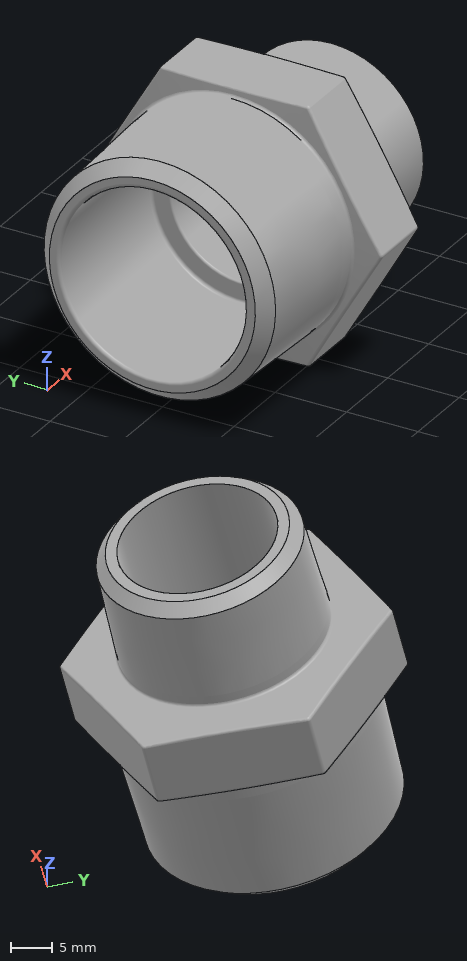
import math
import cadquery as cq

total_length = 45.0
pipe_taper = 1 / 32

large_radius = 16.7
large_chamfer = 1.8
large_thread_end = 17.3
large_tip_radius = large_radius - pipe_taper * (large_thread_end - large_chamfer)

small_radius = 13.335
small_chamfer = 1.5
small_thread_start = 31.15
small_thread_end = total_length - small_chamfer
small_tip_radius = small_radius - pipe_taper * (small_thread_end - small_thread_start)

hex_sides = 6
across_flats = 36.0
corner_radius = across_flats / math.sqrt(3)
hex_center = 24.45
hex_root_width = 10.3
face_angle = math.radians(5)
hex_corner_round = 0.5
hex_rim_round = 0.4
neck_round = 0.4

bore_radius = 10.0
counterbore_radius = 12.95
counterbore_depth = 22.0
mouth_round = 0.5
step_floor_round = 0.5
step_edge_round = 0.35

selection_margin = 0.05


def face_offset(radius):
    """Distance from the collar's middle plane to its conical face at a radius."""
    return hex_root_width / 2 - (radius - small_radius) * math.tan(face_angle)


def revolve_about_x(profile):
    """Full turn about the X axis of a profile drawn as (axial, radial)."""
    return profile.close().revolve(axisStart=(0, 0, 0), axisEnd=(1, 0, 0))


def make_collar():
    prism = (
        cq.Workplane("YZ")
        .polygon(hex_sides, 2 * corner_radius)
        .extrude(hex_root_width)
        .edges("|X")
        .fillet(hex_corner_round)
        .translate((hex_center - hex_root_width / 2, 0, 0))
    )
    axis_offset = face_offset(0)
    corner_offset = face_offset(corner_radius)
    envelope = revolve_about_x(
        cq.Workplane("XZ")
        .moveTo(hex_center - axis_offset, 0)
        .lineTo(hex_center - corner_offset, corner_radius)
        .lineTo(hex_center + corner_offset, corner_radius)
        .lineTo(hex_center + axis_offset, 0)
    )
    collar = prism.intersect(envelope)
    return collar.faces("%CONE").edges().fillet(hex_rim_round)


def make_threaded_ends():
    return revolve_about_x(
        cq.Workplane("XZ")
        .lineTo(0, large_tip_radius - large_chamfer)
        .lineTo(large_chamfer, large_tip_radius)
        .lineTo(large_thread_end, large_radius)
        .lineTo(hex_center, large_radius)
        .lineTo(hex_center, small_radius)
        .lineTo(small_thread_start, small_radius)
        .lineTo(small_thread_end, small_tip_radius)
        .lineTo(total_length, small_tip_radius - small_chamfer)
        .lineTo(total_length, 0)
    )


def ring_at(x, radius):
    """Selector for edges lying on a circle about X, of the given radius, at the given X."""
    outer = radius + selection_margin
    return cq.selectors.BoxSelector(
        (x - selection_margin, -outer, -outer),
        (x + selection_margin, outer, outer),
        boundingbox=True,
    )


def round_necks(body):
    large_root = hex_center - face_offset(large_radius)
    small_root = hex_center + face_offset(small_radius)
    body = body.edges(ring_at(large_root, large_radius)).fillet(neck_round)
    return body.edges(ring_at(small_root, small_radius)).fillet(neck_round)


def make_bore():
    """Space removed by the stepped bore, with its rounded step and flared mouth."""
    return revolve_about_x(
        cq.Workplane("XZ")
        .lineTo(0, counterbore_radius + mouth_round)
        .radiusArc((mouth_round, counterbore_radius), -mouth_round)
        .lineTo(counterbore_depth - step_floor_round, counterbore_radius)
        .radiusArc((counterbore_depth, counterbore_radius - step_floor_round), step_floor_round)
        .lineTo(counterbore_depth, bore_radius + step_edge_round)
        .radiusArc((counterbore_depth + step_edge_round, bore_radius), -step_edge_round)
        .lineTo(total_length, bore_radius)
        .lineTo(total_length, 0)
    )


body = round_necks(make_collar().union(make_threaded_ends()))
result = body.cut(make_bore())